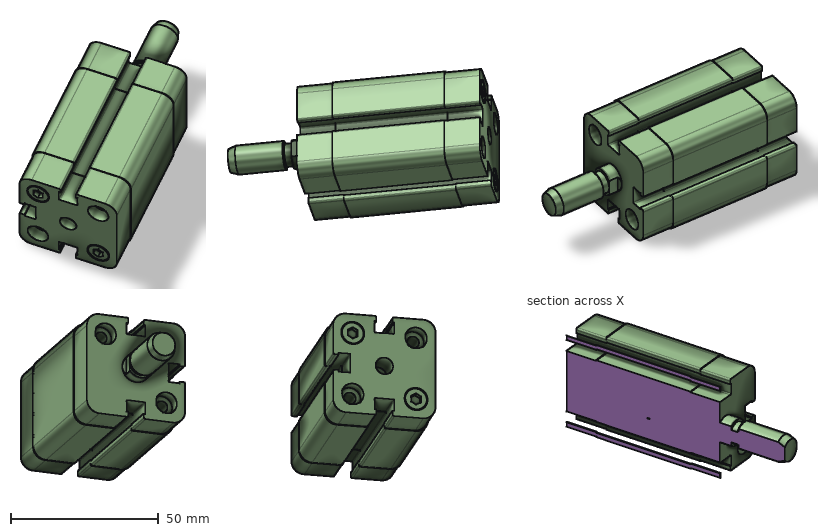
import cadquery as cq
import math

CAP_WIDTH = 35.6
CAP_CORNER_RADIUS = 4.4
CAP_LENGTH = 12.2
TUBE_WIDTH = 36.1
TUBE_CORNER_RADIUS = 4.4
HOUSING_LENGTH = 63.0

SLOT_MOUTH_WIDTH = 5.6
SLOT_WIDTH = 6.8
SLOT_DEPTH = 6.0
SLOT_LIP_DEPTH = 1.9
SLOT_MOUTH_RADIUS = 0.6
SLOT_FLOOR_RADIUS = 0.4
SLOT_ANGLES = (0, 90, 180)

CORNER_OFFSET = 11.0
MOUNT_HOLE_DIAMETER = 4.13
COUNTERBORE_DIAMETER = 7.5
COUNTERBORE_DEPTH = 4.5
SCREW_RECESS_DIAMETER = 8.0
SCREW_HEAD_DIAMETER = 7.5
SCREW_GAP_DEPTH = 0.2
HEX_ACROSS_FLATS = 3.5
HEX_TURN = 30
HEX_DEPTH = 2.0

PORT_DIAMETER = 6.0
PORT_DEPTH = 10.0

ROD_DIAMETER = 10.0
ROD_LENGTH = 4.6
ROD_CHAMFER_LENGTH = 0.5
ROD_CHAMFER_RISE = 0.15
FLATS_WIDTH = 8.0
FLATS_RAMP_LENGTH = (ROD_DIAMETER - FLATS_WIDTH) / 2
NECK_DIAMETER = 8.0
NECK_TAPER_LENGTH = 0.5
NECK_LENGTH = 2.9
THREAD_DIAMETER = 10.0
THREAD_ROOT_DIAMETER = 8.6
TIP_DIAMETER = 8.2
TIP_LENGTH = 2.7
TOTAL_LENGTH = 89.5


def plane_at(y):
    """XZ plane at the given Y whose normal points along +Y; its local x runs along -X."""
    return cq.Workplane(cq.Plane(origin=(0, y, 0), xDir=(-1, 0, 0), normal=(0, 1, 0)))


def slot_cutter(width, start, length, angle):
    """Undercut slot in the +Z side of a section of the given width, turned about the Y axis."""
    surface = width / 2
    floor = surface - SLOT_DEPTH
    cavity_height = SLOT_DEPTH - SLOT_LIP_DEPTH
    cavity_middle = floor + cavity_height / 2
    cavity = plane_at(start).center(0, cavity_middle).rect(SLOT_WIDTH, cavity_height).extrude(length)
    cavity = cavity.edges("|Y and <Z").fillet(SLOT_FLOOR_RADIUS)

    mouth = SLOT_MOUTH_WIDTH / 2
    flared = mouth + SLOT_MOUTH_RADIUS
    round_start = surface - SLOT_MOUTH_RADIUS
    opening = (
        plane_at(start)
        .moveTo(-mouth, cavity_middle)
        .lineTo(mouth, cavity_middle)
        .lineTo(mouth, round_start)
        .radiusArc((flared, surface), SLOT_MOUTH_RADIUS)
        .lineTo(-flared, surface)
        .radiusArc((-mouth, round_start), SLOT_MOUTH_RADIUS)
        .close()
        .extrude(length)
    )
    return cavity.union(opening).rotate((0, 0, 0), (0, 1, 0), -angle)


def housing_section(width, corner_radius, start, length):
    section = plane_at(start).rect(width, width).extrude(length)
    section = section.edges("|Y").fillet(corner_radius)
    for angle in SLOT_ANGLES:
        section = section.cut(slot_cutter(width, start, length, angle))
    return section


def make_housing():
    tube_length = HOUSING_LENGTH - 2 * CAP_LENGTH
    housing = housing_section(TUBE_WIDTH, TUBE_CORNER_RADIUS, CAP_LENGTH, tube_length)
    for start in (0, HOUSING_LENGTH - CAP_LENGTH):
        housing = housing.union(housing_section(CAP_WIDTH, CAP_CORNER_RADIUS, start, CAP_LENGTH))
    return housing


def cylinder(x, z, start, diameter, length):
    return plane_at(start).center(-x, z).circle(diameter / 2).extrude(length)


def cut_mount_holes(housing):
    for side in (-1, 1):
        place = side * CORNER_OFFSET
        housing = housing.cut(cylinder(place, place, 0, MOUNT_HOLE_DIAMETER, HOUSING_LENGTH))
        for start in (0, HOUSING_LENGTH - COUNTERBORE_DEPTH):
            housing = housing.cut(cylinder(place, place, start, COUNTERBORE_DIAMETER, COUNTERBORE_DEPTH))
    return housing


def cut_screw_heads(housing):
    """Flush socket-head screws: a shallow ring around each head and a hexagon socket."""
    hex_corners = HEX_ACROSS_FLATS / math.cos(math.pi / 6)
    for side in (-1, 1):
        x = side * CORNER_OFFSET
        z = -x
        recess = cylinder(x, z, 0, SCREW_RECESS_DIAMETER, SCREW_GAP_DEPTH)
        ring = recess.cut(cylinder(x, z, 0, SCREW_HEAD_DIAMETER, SCREW_GAP_DEPTH))
        socket = plane_at(0).polygon(6, hex_corners).extrude(HEX_DEPTH)
        socket = socket.rotate((0, 0, 0), (0, 1, 0), HEX_TURN).translate((x, 0, z))
        housing = housing.cut(ring).cut(socket)
    return housing


def flat_cutter():
    """Removes one wrench flat on the +X side of the rod, with a 45 degree run-out at the rear face."""
    rod_end = HOUSING_LENGTH + ROD_LENGTH
    flat = FLATS_WIDTH / 2
    outside = ROD_DIAMETER / 2
    profile = [
        (flat, rod_end),
        (flat, HOUSING_LENGTH + FLATS_RAMP_LENGTH),
        (outside, HOUSING_LENGTH),
        (outside, rod_end),
    ]
    return cq.Workplane("XY").polyline(profile).close().extrude(outside, both=True)


def make_rod():
    rod_radius = ROD_DIAMETER / 2
    neck_radius = NECK_DIAMETER / 2
    rod_end = HOUSING_LENGTH + ROD_LENGTH
    thread_start = rod_end + NECK_LENGTH
    profile = [
        (0, HOUSING_LENGTH),
        (rod_radius, HOUSING_LENGTH),
        (rod_radius, rod_end - ROD_CHAMFER_LENGTH),
        (rod_radius - ROD_CHAMFER_RISE, rod_end),
        (neck_radius, rod_end),
        (neck_radius, thread_start - NECK_TAPER_LENGTH),
        (THREAD_ROOT_DIAMETER / 2, thread_start),
        (THREAD_DIAMETER / 2, thread_start),
        (THREAD_DIAMETER / 2, TOTAL_LENGTH - TIP_LENGTH),
        (TIP_DIAMETER / 2, TOTAL_LENGTH),
        (0, TOTAL_LENGTH),
    ]
    rod = cq.Workplane("XY").polyline(profile).close().revolve(360, (0, 0, 0), (0, 1, 0))
    return rod.cut(flat_cutter()).cut(flat_cutter().mirror("YZ"))


housing = make_housing()
housing = cut_mount_holes(housing)
housing = cut_screw_heads(housing)
housing = housing.cut(cylinder(0, 0, 0, PORT_DIAMETER, PORT_DEPTH))
result = housing.union(make_rod())